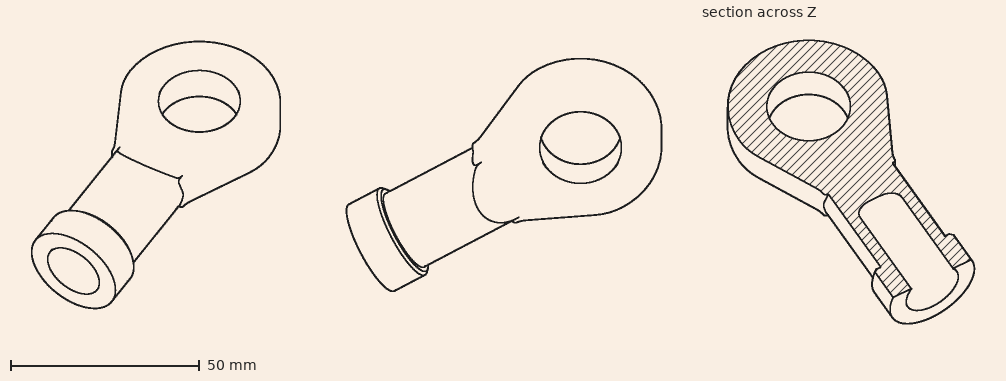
import cadquery as cq
import math

eye_radius = 21.5
plate_thickness = 10.5
plate_edge_round = 0.8
seat_radius = 12.0

taper_angle = math.radians(26.0)
shoulder_radius = 16.85

neck_blend_y = -23.9

end_y = -64.5
shank_radius = 11.0
collar_radius = 13.0
collar_length = 10.2
collar_edge_chamfer = 0.8

wedge_start_y = -31.2
wedge_angle = math.radians(49.0)
junction_radius = 3.0

bore_radius = 8.0
bore_depth = 30.0
bore_floor_round = 3.4

half_plate = plate_thickness / 2
shoulder_centre_x = eye_radius - shoulder_radius
taper_top_x = shoulder_centre_x + shoulder_radius * math.cos(taper_angle)
taper_top_y = -shoulder_radius * math.sin(taper_angle)

neck_blend_x = taper_top_x - (taper_top_y - neck_blend_y) * math.tan(taper_angle)
neck_radius = (neck_blend_x - shank_radius) / (1 - math.cos(taper_angle))
neck_end_y = neck_blend_y - neck_radius * math.sin(taper_angle)

wedge_foot_y = wedge_start_y + (shank_radius - half_plate) / math.tan(wedge_angle)
blend_setback = junction_radius * math.tan(wedge_angle / 2)
shank_tip_y = wedge_foot_y + blend_setback


def shoulder_middle(side):
    half_angle = taper_angle / 2
    x = shoulder_centre_x + shoulder_radius * math.cos(half_angle)
    return side * x, -shoulder_radius * math.sin(half_angle)


def neck_middle(side):
    half_angle = taper_angle / 2
    x = shank_radius + neck_radius * (1 - math.cos(half_angle))
    return side * x, neck_end_y + neck_radius * math.sin(half_angle)


def make_plate():
    """Eye plate whose sides taper and then curve into the shank."""
    plate = (
        cq.Workplane("XY", origin=(0, 0, -half_plate))
        .moveTo(-eye_radius, 0)
        .threePointArc((0, eye_radius), (eye_radius, 0))
        .threePointArc(shoulder_middle(1), (taper_top_x, taper_top_y))
        .lineTo(neck_blend_x, neck_blend_y)
        .threePointArc(neck_middle(1), (shank_radius, neck_end_y))
        .lineTo(-shank_radius, neck_end_y)
        .threePointArc(neck_middle(-1), (-neck_blend_x, neck_blend_y))
        .lineTo(-taper_top_x, taper_top_y)
        .threePointArc(shoulder_middle(-1), (-eye_radius, 0))
        .close()
        .extrude(plate_thickness)
    )
    plate = plate.edges("|Z and <Y").fillet(plate_edge_round)
    return plate.faces("|Z").edges("not(<Y)").fillet(plate_edge_round)


def make_shank():
    """Round shank whose inner end narrows between two flats that blend into the plate faces."""
    shank = (
        cq.Workplane("XZ", origin=(0, shank_tip_y, 0))
        .circle(shank_radius)
        .extrude(shank_tip_y - end_y)
    )
    half_angle = wedge_angle / 2
    blend_centre_z = half_plate + junction_radius
    blend_middle = (
        shank_tip_y - junction_radius * math.sin(half_angle),
        blend_centre_z - junction_radius * math.cos(half_angle),
    )
    blend_end = (
        shank_tip_y - junction_radius * math.sin(wedge_angle),
        blend_centre_z - junction_radius * math.cos(wedge_angle),
    )
    upper_wedge = (
        cq.Workplane("YZ")
        .moveTo(end_y, 0)
        .lineTo(end_y, shank_radius)
        .lineTo(wedge_start_y, shank_radius)
        .lineTo(*blend_end)
        .threePointArc(blend_middle, (shank_tip_y, half_plate))
        .lineTo(shank_tip_y, 0)
        .close()
        .extrude(shank_radius, both=True)
    )
    return shank.intersect(upper_wedge.union(upper_wedge.mirror("XY")))


def make_collar():
    collar = cq.Workplane("XZ", origin=(0, end_y, 0)).circle(collar_radius).extrude(-collar_length)
    return collar.faces(">Y").chamfer(collar_edge_chamfer)


def make_bore():
    bore = cq.Workplane("XZ", origin=(0, end_y, 0)).circle(bore_radius).extrude(-bore_depth)
    return bore.faces(">Y").edges().fillet(bore_floor_round)


bearing_seat = cq.Workplane("XY").sphere(seat_radius)

result = (
    make_plate()
    .union(make_shank())
    .union(make_collar())
    .cut(make_bore())
    .cut(bearing_seat)
)